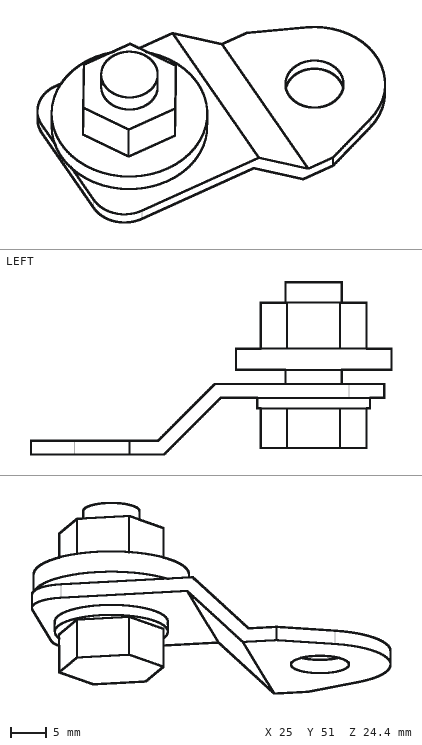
import cadquery as cq
import math


plate_width = 25.0
plate_thickness = 2.0
plate_rise = 8.0
bend_angle = 45.0
upper_bend_y = 13.95
front_edge_y = -10.0
corner_radius = 5.0
eye_y = 30.0
eye_radius = 10.0
eye_hole_diameter = 8.2
taper_start_y = 26.0

shank_diameter = 8.0
bolt_top_z = 24.4
hex_across_flats = 13.0
head_height = 5.6
head_washer_diameter = 16.0
head_washer_thickness = 1.5
large_washer_diameter = 22.05
large_washer_thickness = 3.0
washer_gap = 2.0
nut_height = 6.5

upper_bottom_z = plate_rise
upper_top_z = upper_bottom_z + plate_thickness
head_top_z = upper_bottom_z - head_washer_thickness
head_bottom_z = head_top_z - head_height
large_washer_z = upper_top_z + washer_gap
nut_z = large_washer_z + large_washer_thickness


def disc(diameter, bottom_z, height):
    return cq.Workplane("XY").workplane(offset=bottom_z).circle(diameter / 2).extrude(height)


def hexagon(bottom_z, height):
    """Hexagonal prism with two of its corners on the Y axis."""
    across_corners = hex_across_flats / math.cos(math.radians(30))
    prism = cq.Workplane("XY").workplane(offset=bottom_z).polygon(6, across_corners).extrude(height)
    return prism.rotate((0, 0, 0), (0, 0, 1), 30)


def bent_strip():
    """Side profile of the plate, with constant thickness through both bends."""
    lower_bend_y = upper_bend_y + plate_rise / math.tan(math.radians(bend_angle))
    bend_shift = plate_thickness * math.tan(math.radians(bend_angle / 2))
    eye_end_y = eye_y + eye_radius
    return (
        cq.Workplane("YZ")
        .moveTo(front_edge_y, upper_top_z)
        .lineTo(upper_bend_y, upper_top_z)
        .lineTo(lower_bend_y, plate_thickness)
        .lineTo(eye_end_y, plate_thickness)
        .lineTo(eye_end_y, 0)
        .lineTo(lower_bend_y - bend_shift, 0)
        .lineTo(upper_bend_y - bend_shift, upper_bottom_z)
        .lineTo(front_edge_y, upper_bottom_z)
        .close()
        .extrude(plate_width / 2, both=True)
    )


def plate_outline():
    """Prism of the plan outline: rounded front corners and sides tapering tangent to the eye."""
    half_width = plate_width / 2
    taper_drop = eye_y - taper_start_y
    corner_distance = math.hypot(half_width, taper_drop)
    tangent_angle = math.acos(eye_radius / corner_distance) - math.atan2(taper_drop, half_width)
    tangent_x = eye_radius * math.cos(tangent_angle)
    tangent_y = eye_y + eye_radius * math.sin(tangent_angle)
    return (
        cq.Workplane("XY")
        .moveTo(-half_width, front_edge_y)
        .lineTo(half_width, front_edge_y)
        .lineTo(half_width, taper_start_y)
        .lineTo(tangent_x, tangent_y)
        .threePointArc((0, eye_y + eye_radius), (-tangent_x, tangent_y))
        .lineTo(-half_width, taper_start_y)
        .close()
        .extrude(upper_top_z)
        .edges("|Z and <Y")
        .fillet(corner_radius)
    )


plate = bent_strip().intersect(plate_outline())
plate = plate.cut(disc(eye_hole_diameter, 0, plate_thickness).translate((0, eye_y, 0)))

bolt = (
    hexagon(head_bottom_z, head_height)
    .union(disc(head_washer_diameter, head_top_z, head_washer_thickness))
    .union(disc(shank_diameter, head_top_z, bolt_top_z - head_top_z))
)
large_washer = disc(large_washer_diameter, large_washer_z, large_washer_thickness)
nut = hexagon(nut_z, nut_height)

result = plate.union(bolt).union(large_washer).union(nut)